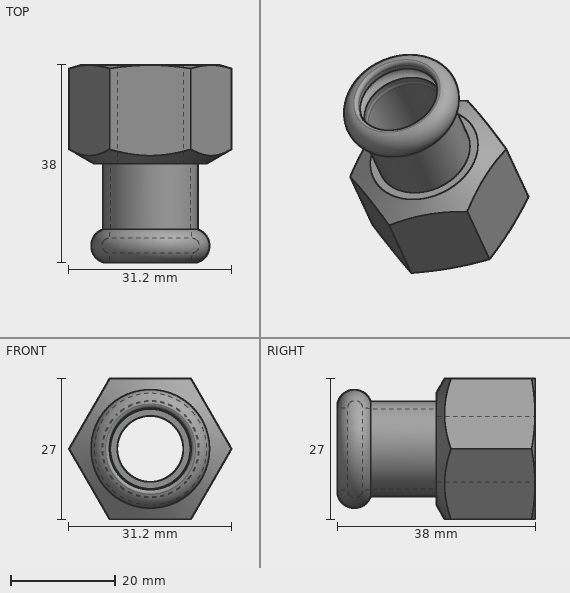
import cadquery as cq
import math

total_length = 38.0
hex_start = 19.0
hex_across_flats = 27.0
hex_across_corners = hex_across_flats / math.cos(math.pi / 6)

front_face_diameter = 21.5
front_chamfer_angle = 30.0
back_face_diameter = 26.52
back_chamfer_angle = 17.0

mouth_diameter = 15.7
lip_round_radius = 0.8
lip_diameter = mouth_diameter + 2 * lip_round_radius

tube_diameter = 18.3
bead_diameter = 22.75
bead_width = 6.42
bead_middle = 3.4

groove_width = 2.85
groove_diameter = 18.65
groove_start = bead_middle - groove_width / 2
groove_end = groove_start + groove_width
land_diameter = mouth_diameter
land_end = 5.78
socket_diameter = 15.3
taper_end = 6.55
socket_depth = hex_start
through_diameter = 12.6


def revolve_about_y(profile):
    return profile.close().revolve(360, (0, 0, 0), (0, 1, 0))


def make_hexagon():
    """Hexagonal nut body with conical chamfers at both ends."""
    prism = (
        cq.Workplane("XZ", origin=(0, hex_start, 0))
        .polygon(6, hex_across_corners)
        .extrude(hex_start - total_length)
    )
    envelope_radius = hex_across_corners / 2 + 0.38
    front_radius = front_face_diameter / 2
    back_radius = back_face_diameter / 2
    front_rise = (envelope_radius - front_radius) * math.tan(math.radians(front_chamfer_angle))
    back_rise = (envelope_radius - back_radius) * math.tan(math.radians(back_chamfer_angle))
    envelope = revolve_about_y(
        cq.Workplane("XY")
        .moveTo(0, hex_start)
        .lineTo(front_radius, hex_start)
        .lineTo(envelope_radius, hex_start + front_rise)
        .lineTo(envelope_radius, total_length - back_rise)
        .lineTo(back_radius, total_length)
        .lineTo(0, total_length)
    )
    return prism.intersect(envelope)


def make_tube():
    """Round tube ending in a bulged bead, solid up to the hexagon."""
    return revolve_about_y(
        cq.Workplane("XY")
        .lineTo(lip_diameter / 2, 0)
        .threePointArc((bead_diameter / 2, bead_middle), (tube_diameter / 2, bead_width))
        .lineTo(tube_diameter / 2, hex_start)
        .lineTo(0, hex_start)
    )


def make_bore():
    """Socket with a rounded lip and seal groove, stepping down to the through bore."""
    mouth_radius = mouth_diameter / 2
    diagonal = math.sqrt(0.5)
    lip_middle = (
        mouth_radius + lip_round_radius * (1 - diagonal),
        lip_round_radius * (1 - diagonal),
    )
    groove_bottom = (groove_diameter / 2, bead_middle)
    return revolve_about_y(
        cq.Workplane("XY")
        .lineTo(lip_diameter / 2, 0)
        .threePointArc(lip_middle, (mouth_radius, lip_round_radius))
        .lineTo(mouth_radius, groove_start)
        .threePointArc(groove_bottom, (land_diameter / 2, groove_end))
        .lineTo(land_diameter / 2, land_end)
        .lineTo(socket_diameter / 2, taper_end)
        .lineTo(socket_diameter / 2, socket_depth)
        .lineTo(through_diameter / 2, socket_depth)
        .lineTo(through_diameter / 2, total_length)
        .lineTo(0, total_length)
    )


result = make_hexagon().union(make_tube()).cut(make_bore())